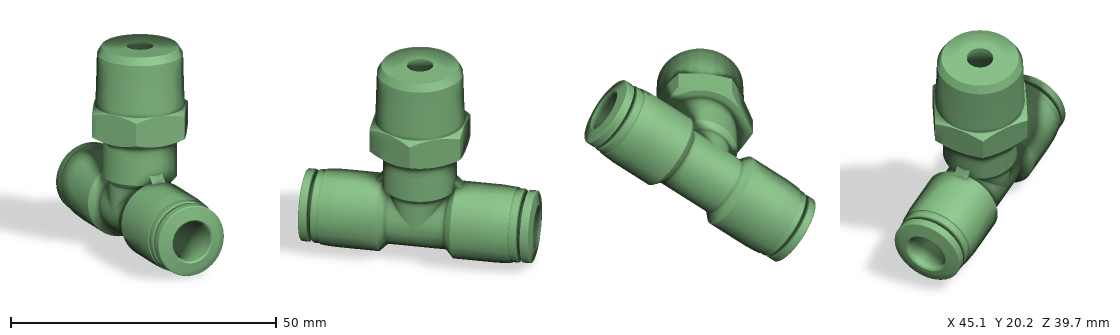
import cadquery as cq
import math


tee_radius = 5.85
flow_diameter = 5.0

socket_radius = 7.4
socket_cone_start = 5.65
socket_cone_end = socket_cone_start + socket_radius - tee_radius
socket_taper_start = 15.4
socket_taper_end = 18.3
socket_taper_drop = 0.2
socket_rim_radius = 7.0
socket_end = 19.8
socket_edge_break = 0.15

neck_diameter = 9.94
neck_radius = neck_diameter / 2
collar_diameter = 13.8
collar_radius = collar_diameter / 2
collar_start = 20.55
collar_rim_end = 21.87
collar_rim_rounding = 0.25
collar_rounding_end = collar_rim_end + collar_rim_rounding
neck_chamfer = 0.2
run_length = 45.1
run_half_length = run_length / 2

tube_diameter = 7.94
tube_stop = socket_cone_end
tube_lead_in = 0.27
tube_mouth_radius = tube_diameter / 2 + tube_lead_in

branch_radius = 7.0
branch_cone_start = socket_cone_start
branch_cone_end = branch_cone_start + branch_radius - tee_radius
hex_sides = 6
hex_bottom = 14.8
hex_height = 6.0
hex_top = hex_bottom + hex_height
hex_corner_diameter = 20.16
hex_flat_width = hex_corner_diameter * math.cos(math.pi / hex_sides)
hex_chamfer_angle = 30.0
thread_base_radius = 8.45
thread_tip_radius = 8.14
thread_end_radius = 7.27
thread_chamfer_height = 1.45
overall_height = 39.7
branch_top = overall_height - socket_radius

web_width = 2.7
web_leg = 1.2


def revolve_about_z(points):
    """Solid of revolution about Z from an outline of (radius, height) points."""
    outline = cq.Workplane("XZ").polyline(points).close()
    return outline.revolve(360, (0, 0, 0), (0, 1, 0))


def make_run_half():
    """Half of the run on the +X side, from the tee centre to the collar face."""
    outline = (
        cq.Workplane("XY")
        .moveTo(0, 0)
        .lineTo(0, tee_radius)
        .lineTo(socket_cone_start, tee_radius)
        .lineTo(socket_cone_end, socket_radius)
        .lineTo(socket_taper_start, socket_radius)
        .tangentArcPoint((socket_taper_end, socket_radius - socket_taper_drop), relative=False)
        .lineTo(socket_taper_end, socket_rim_radius)
        .lineTo(socket_end - socket_edge_break, socket_rim_radius)
        .lineTo(socket_end, socket_rim_radius - socket_edge_break)
        .lineTo(socket_end, neck_radius)
        .lineTo(collar_start - neck_chamfer, neck_radius)
        .lineTo(collar_start, neck_radius + neck_chamfer)
        .lineTo(collar_start, collar_radius)
        .lineTo(collar_rim_end, collar_radius)
        .tangentArcPoint((collar_rounding_end, collar_radius - collar_rim_rounding), relative=False)
        .lineTo(run_half_length, tube_mouth_radius)
        .lineTo(run_half_length, 0)
        .close()
    )
    return outline.revolve(360, (0, 0, 0), (1, 0, 0))


def make_branch():
    """Round branch stem with the tapered thread body on top."""
    return revolve_about_z([
        (0, 0),
        (tee_radius, 0),
        (tee_radius, branch_cone_start),
        (branch_radius, branch_cone_end),
        (branch_radius, hex_top),
        (thread_base_radius, hex_top),
        (thread_tip_radius, branch_top - thread_chamfer_height),
        (thread_end_radius, branch_top),
        (0, branch_top),
    ])


def make_hex():
    """Hexagon with flats facing X and both ends chamfered at the corners."""
    prism = (
        cq.Workplane("XY", origin=(0, 0, hex_bottom))
        .polygon(hex_sides, hex_corner_diameter)
        .extrude(hex_height)
        .rotate((0, 0, 0), (0, 0, 1), 180 / hex_sides)
    )
    flat_radius = hex_flat_width / 2
    envelope_radius = hex_corner_diameter
    chamfer_drop = (envelope_radius - flat_radius) * math.tan(math.radians(hex_chamfer_angle))
    envelope = revolve_about_z([
        (0, hex_bottom),
        (flat_radius, hex_bottom),
        (envelope_radius, hex_bottom + chamfer_drop),
        (envelope_radius, hex_top - chamfer_drop),
        (flat_radius, hex_top),
        (0, hex_top),
    ])
    return prism.intersect(envelope)


def make_web():
    """Triangular web in the +X corner between branch and socket, sunk into both."""
    reach = branch_radius + web_leg
    return (
        cq.Workplane("XZ")
        .moveTo(0, socket_radius + reach)
        .lineTo(reach, socket_radius)
        .lineTo(reach, tee_radius)
        .lineTo(0, tee_radius)
        .close()
        .extrude(web_width / 2, both=True)
    )


def make_tube_bore():
    """Tube socket with a lead-in chamfer at the +X end."""
    radius = tube_diameter / 2
    outline = (
        cq.Workplane("XY")
        .moveTo(tube_stop, 0)
        .lineTo(tube_stop, radius)
        .lineTo(run_half_length - tube_lead_in, radius)
        .lineTo(run_half_length, tube_mouth_radius)
        .lineTo(run_half_length, 0)
        .close()
    )
    return outline.revolve(360, (0, 0, 0), (1, 0, 0))


def both_sides(half):
    """The +X shape together with its mirror image about the YZ plane."""
    return half.union(half.mirror("YZ"))


run_passage = (
    cq.Workplane("YZ", origin=(-run_half_length, 0, 0))
    .circle(flow_diameter / 2)
    .extrude(run_length)
)
branch_passage = cq.Workplane("XY").circle(flow_diameter / 2).extrude(branch_top)

body = both_sides(make_run_half())
body = body.union(make_branch())
body = body.union(make_hex())
body = body.union(both_sides(make_web()))

body = body.cut(run_passage)
body = body.cut(branch_passage)
body = body.cut(both_sides(make_tube_bore()))

result = body